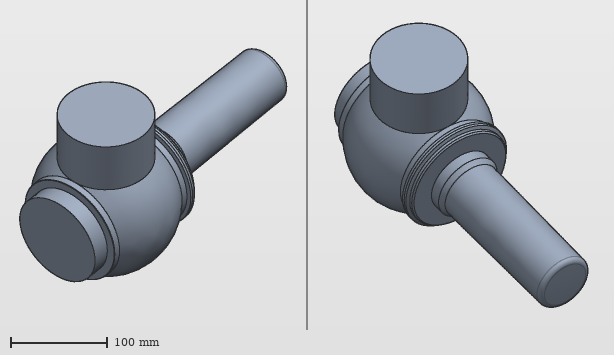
import cadquery as cq
import math


BALL_RADIUS = 79.0
PIPE_RADIUS = 101.6 / 2
COLLAR_RADIUS = 121.0 / 2
COLLAR_START = math.sqrt(BALL_RADIUS**2 - COLLAR_RADIUS**2)
FRONT_COLLAR_END = 59.0
FRONT_COLLAR_CHAMFER = 0.5
FRONT_PIPE_END = 79.0
BRANCH_PIPE_TOP = 120.0

JOINT_Y = 63.0
RIM_RADIUS = 129.0 / 2
RIM_HALF_WIDTH = 3.0
RIM_CONE_WIDTH = 1.4

COVER_END = 72.5
COVER_CHAMFER = 1.7
NECK_RADIUS = 33.0
SHOULDER_RADIUS = 75.0 / 2
SHOULDER_START = 74.0
SHOULDER_END = 86.5
HANDLE_START = 92.5
HANDLE_BASE_RADIUS = 33.5
HANDLE_TIP_RADIUS = 32.0
TIP_END = 259.5
TIP_CROWN_HEIGHT = 1.0
TIP_ROUND = 5.5


def turn_about_y(profile):
    """Turn a closed half profile in the XY plane one full revolution about the Y axis."""
    return profile.revolve(360, (0, 0, 0), (0, 1, 0))


def make_housing():
    """Turned ball with front pipe, front collar and rear clamp flange, plus a branch pipe on top."""
    rim_edge = JOINT_Y - RIM_HALF_WIDTH
    profile = (
        cq.Workplane("XY")
        .moveTo(0, -FRONT_PIPE_END)
        .lineTo(PIPE_RADIUS, -FRONT_PIPE_END)
        .lineTo(PIPE_RADIUS, -FRONT_COLLAR_END)
        .lineTo(COLLAR_RADIUS - FRONT_COLLAR_CHAMFER, -FRONT_COLLAR_END)
        .lineTo(COLLAR_RADIUS, FRONT_COLLAR_CHAMFER - FRONT_COLLAR_END)
        .lineTo(COLLAR_RADIUS, -COLLAR_START)
        .threePointArc((BALL_RADIUS, 0), (COLLAR_RADIUS, COLLAR_START))
        .lineTo(COLLAR_RADIUS, rim_edge - RIM_CONE_WIDTH)
        .lineTo(RIM_RADIUS, rim_edge)
        .lineTo(RIM_RADIUS, JOINT_Y)
        .lineTo(0, JOINT_Y)
        .close()
    )
    branch_pipe = cq.Workplane("XY").circle(PIPE_RADIUS).extrude(BRANCH_PIPE_TOP)
    return turn_about_y(profile).union(branch_pipe)


def make_actuator():
    """Cover flange, neck, shoulder and tapered handle turned about the Y axis."""
    rim_edge = JOINT_Y + RIM_HALF_WIDTH
    tip_edge = TIP_END - TIP_CROWN_HEIGHT
    round_start = tip_edge - TIP_ROUND
    crown_edge_radius = HANDLE_TIP_RADIUS - TIP_ROUND
    diagonal = TIP_ROUND * math.sqrt(0.5)
    crown_radius = (crown_edge_radius**2 + TIP_CROWN_HEIGHT**2) / (2 * TIP_CROWN_HEIGHT)
    crown_mid_x = crown_edge_radius / 2
    crown_mid_y = TIP_END - crown_radius + math.sqrt(crown_radius**2 - crown_mid_x**2)
    profile = (
        cq.Workplane("XY")
        .moveTo(0, JOINT_Y)
        .lineTo(RIM_RADIUS, JOINT_Y)
        .lineTo(RIM_RADIUS, rim_edge)
        .lineTo(COLLAR_RADIUS, rim_edge + RIM_CONE_WIDTH)
        .lineTo(COLLAR_RADIUS, COVER_END - COVER_CHAMFER)
        .lineTo(COLLAR_RADIUS - COVER_CHAMFER, COVER_END)
        .lineTo(NECK_RADIUS, COVER_END)
        .lineTo(NECK_RADIUS, SHOULDER_START)
        .lineTo(SHOULDER_RADIUS, SHOULDER_START)
        .lineTo(SHOULDER_RADIUS, SHOULDER_END)
        .lineTo(HANDLE_BASE_RADIUS, HANDLE_START)
        .lineTo(HANDLE_TIP_RADIUS, round_start)
        .threePointArc((crown_edge_radius + diagonal, round_start + diagonal), (crown_edge_radius, tip_edge))
        .threePointArc((crown_mid_x, crown_mid_y), (0, TIP_END))
        .close()
    )
    return turn_about_y(profile)


housing = make_housing()
actuator = make_actuator()
result = cq.Compound.makeCompound([housing.val(), actuator.val()])